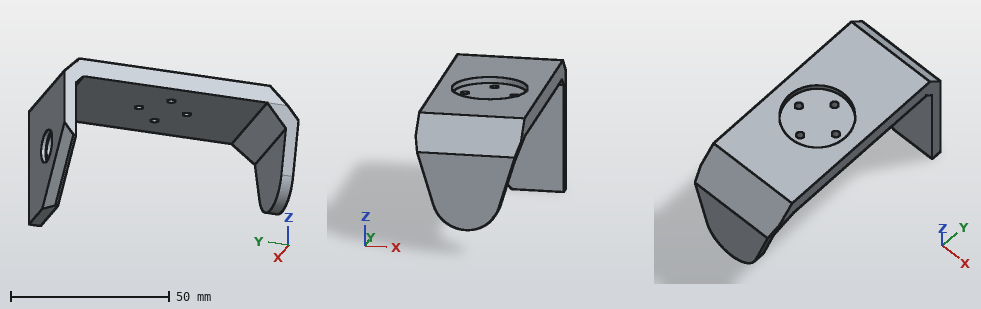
import cadquery as cq
import math

width = 34.0
length = 79.0
height = 44.0
half_width = width / 2
back = length / 2
front = -length / 2

plate_thickness = 6.0
leg_thickness = 3.95
back_bevel = 5.0
back_inner_bevel = 2.5
front_bevel = 10.0
front_inner_bevel = 7.0

tongue_length = 35.0
tongue_radius = 11.0
pivot_z = tongue_radius - tongue_length

corner_cut = 17.3
corner_bevel_width = 2.7
corner_bevel_depth = 3.0

pivot_diameter = 8.5
pivot_recess_diameter = 10.5
pivot_recess_depth = 1.5

pocket_y = 0.5
pocket_diameter = 24.0
pocket_depth = 2.0
screw_diameter = 2.5
screw_circle_diameter = 15.95
screw_count = 4


def bracket_body():
    """Side section with unequal legs, extruded across the width."""
    back_inside = back - leg_thickness
    front_inside = front + leg_thickness
    section = [
        (back - back_bevel, 0),
        (back, -back_bevel),
        (back, -height),
        (back_inside, -height),
        (back_inside, -plate_thickness - back_inner_bevel),
        (back_inside - back_inner_bevel, -plate_thickness),
        (front_inside + front_inner_bevel, -plate_thickness),
        (front_inside, -plate_thickness - front_inner_bevel),
        (front_inside, -tongue_length),
        (front, -tongue_length),
        (front, -front_bevel),
        (front + front_bevel, 0),
    ]
    return cq.Workplane("YZ").polyline(section).close().extrude(half_width, both=True)


def tongue_envelope():
    """Front half of the bracket, with sides tapering tangentially into the round tip."""
    drop = -plate_thickness - pivot_z
    distance = math.hypot(half_width, drop)
    angle = math.atan2(drop, half_width) - math.acos(tongue_radius / distance)
    tangent_x = tongue_radius * math.cos(angle)
    tangent_z = pivot_z + tongue_radius * math.sin(angle)
    return (
        cq.Workplane("XZ")
        .moveTo(-half_width, 0)
        .lineTo(half_width, 0)
        .lineTo(half_width, -plate_thickness)
        .lineTo(tangent_x, tangent_z)
        .threePointArc((0, -tongue_length), (-tangent_x, tangent_z))
        .lineTo(-half_width, -plate_thickness)
        .close()
        .extrude(-front)
    )


def back_envelope():
    """Back half of the bracket, left whole."""
    block = cq.Workplane("XY").box(width, back, height, centered=(True, False, False))
    return block.translate((0, 0, -height))


def corner_points(y, size):
    """Vertices of a triangle over the lower -X corner, in the plane at the given y."""
    corner = (-half_width, y, -height)
    along_bottom = (-half_width + size, y, -height)
    up_side = (-half_width, y, -height + size)
    return [cq.Vector(*point) for point in (corner, along_bottom, up_side)]


def corner_cutter():
    """45 degree corner cut through the back leg."""
    triangle = cq.Wire.makePolygon(corner_points(back, corner_cut), close=True)
    return cq.Solid.extrudeLinear(triangle, [], cq.Vector(0, -leg_thickness, 0))


def corner_bevel_cutter():
    """Bevel that widens the corner cut toward the outer face of the leg."""
    widened_cut = corner_cut + corner_bevel_width * math.sqrt(2)
    inner = cq.Wire.makePolygon(corner_points(back - corner_bevel_depth, corner_cut), close=True)
    outer = cq.Wire.makePolygon(corner_points(back, widened_cut), close=True)
    return cq.Solid.makeLoft([inner, outer], True)


def pivot_hole():
    """Through hole with a wider recess in the outer face of the back leg."""
    outer_face = cq.Workplane("XZ", origin=(0, back, pivot_z))
    bore = outer_face.circle(pivot_diameter / 2).extrude(leg_thickness)
    recess = outer_face.circle(pivot_recess_diameter / 2).extrude(pivot_recess_depth)
    return bore.union(recess)


def top_pocket():
    """Shallow round pocket with a ring of screw holes through its floor."""
    top = cq.Workplane("XY", origin=(0, pocket_y, 0))
    pocket = top.circle(pocket_diameter / 2).extrude(-pocket_depth)
    screws = (
        top.polarArray(screw_circle_diameter / 2, 0, 360, screw_count)
        .circle(screw_diameter / 2)
        .extrude(-plate_thickness)
    )
    return pocket.union(screws)


result = bracket_body().intersect(tongue_envelope().union(back_envelope()))
result = result.cut(corner_cutter()).cut(corner_bevel_cutter())
result = result.cut(pivot_hole()).cut(top_pocket())